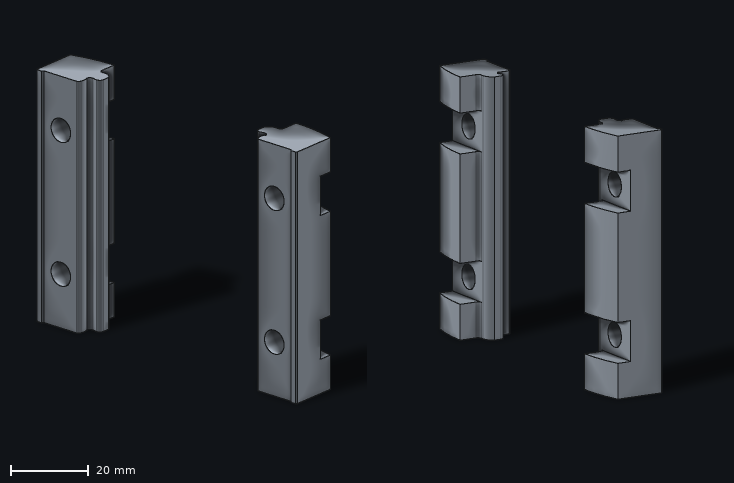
import cadquery as cq
import math

span = 88.4
depth = 15.5
length = 70.0

body_width = 13.35
outer_height = 13.5
base_height = 0.5

lip_flat_end = 1.8
lip_ramp_end = 2.2
lip_corner = 0.35

tongue_reach = 17.9
tongue_bottom = 4.9
tongue_top = 9.6
root_fillet = 1.0
upper_round_start = 15.0
upper_round_end = 7.9
bead_start = 15.2
bead_end = 16.5
bead_drop = 0.3
bead_round = tongue_reach - bead_end

base_corner = 0.8
wall_width = 14.05
bulge_width = 14.2
bulge_height = 2.5
wall_neck_width = 13.9
wall_neck_height = 4.0
lower_root_fillet = tongue_bottom - wall_neck_height

station_offset = 20.0
hole_diameter = 6.6
hole_inset = 8.0
slot_width = 10.9
slot_floor = tongue_top

COS_45 = math.sqrt(0.5)


def falling_arc_midpoint(level_x, level_y, end_x, end_y):
    """Middle of an arc that starts level at one point and falls to the other."""
    run = end_x - level_x
    drop = level_y - end_y
    radius = (run**2 + drop**2) / (2 * drop)
    half_angle = math.atan2(drop, abs(run))
    mid_x = level_x + math.copysign(radius * math.sin(half_angle), run)
    mid_y = level_y - radius * (1 - math.cos(half_angle))
    return mid_x, mid_y


def rail_profile():
    """Cross-section of the left rail, from its outer lip corner at the origin."""
    back_mid = falling_arc_midpoint(body_width, depth, 0, outer_height)
    round_mid = falling_arc_midpoint(upper_round_start, tongue_top, tongue_reach, upper_round_end)

    bead_bottom = tongue_bottom - bead_drop
    bead_center_y = bead_bottom + bead_round
    root_x = body_width + root_fillet
    root_y = tongue_top + root_fillet
    corner_x = wall_width - base_corner
    corner_y = base_height + base_corner
    lower_root_x = wall_neck_width + lower_root_fillet

    return (
        cq.Workplane("XY")
        .moveTo(0, lip_corner)
        .lineTo(0, outer_height)
        .threePointArc(back_mid, (body_width, depth))
        .lineTo(body_width, root_y)
        .threePointArc(
            (root_x - root_fillet * COS_45, root_y - root_fillet * COS_45),
            (root_x, tongue_top),
        )
        .lineTo(upper_round_start, tongue_top)
        .threePointArc(round_mid, (tongue_reach, upper_round_end))
        .lineTo(tongue_reach, bead_center_y)
        .threePointArc(
            (bead_end + bead_round * COS_45, bead_center_y - bead_round * COS_45),
            (bead_end, bead_bottom),
        )
        .lineTo(bead_start, tongue_bottom)
        .lineTo(lower_root_x, tongue_bottom)
        .threePointArc(
            (
                lower_root_x - lower_root_fillet * COS_45,
                wall_neck_height + lower_root_fillet * COS_45,
            ),
            (wall_neck_width, wall_neck_height),
        )
        .threePointArc((bulge_width, bulge_height), (wall_width, corner_y))
        .threePointArc(
            (corner_x + base_corner * COS_45, corner_y - base_corner * COS_45),
            (corner_x, base_height),
        )
        .lineTo(lip_ramp_end, base_height)
        .lineTo(lip_flat_end, 0)
        .lineTo(lip_corner, 0)
        .close()
    )


def make_left_rail():
    """Extruded rail with a through hole and a cross slot at each station."""
    rail = rail_profile().extrude(length / 2, both=True)
    for z in (-station_offset, station_offset):
        hole = (
            cq.Workplane("XZ")
            .center(hole_inset, z)
            .circle(hole_diameter / 2)
            .extrude(-depth)
        )
        slot = (
            cq.Workplane("XY")
            .box(tongue_reach, depth - slot_floor, slot_width, centered=(False, False, True))
            .translate((0, slot_floor, z))
        )
        rail = rail.cut(hole).cut(slot)
    return rail.translate((-span / 2, -depth / 2, 0))


left_rail = make_left_rail()
right_rail = left_rail.mirror("YZ")

result = cq.Compound.makeCompound([left_rail.val(), right_rail.val()])